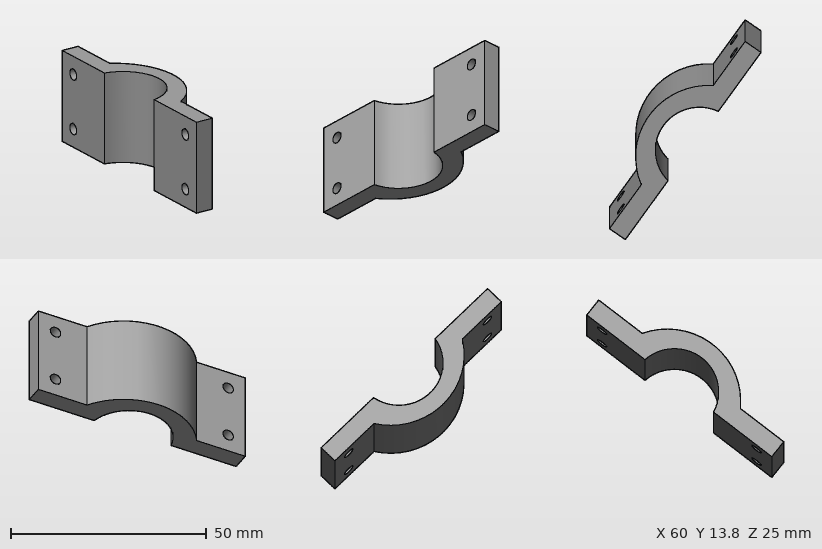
import cadquery as cq

length = 60.0
height = 25.0
flange_thickness = 5.0
total_depth = 13.8
outer_half_chord = 15.9
bore_half_chord = 11.1
bore_depth = 9.3
hole_diameter = 3.0
hole_spacing_x = 50.05
hole_spacing_z = 15.0

half_length = length / 2
front_y = -total_depth / 2
flange_back_y = front_y + flange_thickness
saddle_back_y = front_y + total_depth
bore_top_y = front_y + bore_depth


def clamp_body():
    """Two flat flanges joined by an arched saddle, extruded along Z."""
    return (
        cq.Workplane("XY")
        .workplane(offset=-height / 2)
        .moveTo(-half_length, front_y)
        .lineTo(-bore_half_chord, front_y)
        .threePointArc((0, bore_top_y), (bore_half_chord, front_y))
        .lineTo(half_length, front_y)
        .lineTo(half_length, flange_back_y)
        .lineTo(outer_half_chord, flange_back_y)
        .threePointArc((0, saddle_back_y), (-outer_half_chord, flange_back_y))
        .lineTo(-half_length, flange_back_y)
        .close()
        .extrude(height)
    )


def bolt_holes():
    """Four holes through the flanges along Y."""
    return (
        cq.Workplane("XZ", origin=(0, front_y, 0))
        .rarray(hole_spacing_x, hole_spacing_z, 2, 2)
        .circle(hole_diameter / 2)
        .extrude(-flange_thickness)
    )


result = clamp_body().cut(bolt_holes())